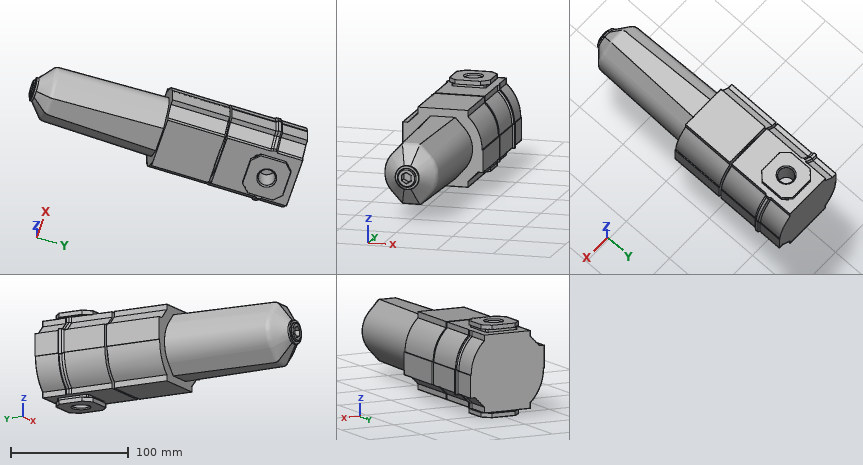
import cadquery as cq
import math

TOTAL_LENGTH = 235.6

FLAT_HALF_WIDTH = 22.1
BODY_HALF_HEIGHT = 33.7
SLOPE_TOP_Z = 28.7
SHOULDER_Z = 19.8
SIDE_X = 35.5

HEAD_LENGTH = 67.6
HEAD_ARC_RADIUS = 38.9
HEAD_ARC_REACH = 34.9
NECK_RADIUS = 30.0
BEAD_HEIGHT = 1.2
BEAD_STATIONS = (22.5, 23.8, 26.5, 28.3)

PORT_STATION = 25.0
PORT_TOP_Z = 40.0
PLATE_SIZE = 36.0
PLATE_CHAMFER = 6.8
PLATE_THICKNESS = 3.8
PORT_NECK_SIZE = 30.2
PORT_NECK_CHAMFER = 1.5
PORT_HOLE_RADIUS = 7.3
PORT_HOLE_CHAMFER = 1.2
PORT_HOLE_DEPTH = 23.5

COLLAR_START = 69.7
COLLAR_END = 120.9
COLLAR_ARC_RADIUS = 38.5
COLLAR_ARC_REACH = 34.6

BOWL_TOP_HALF_HEIGHT = 26.9
BOWL_TOP_RADIUS = 26.2
BOWL_TOP_FLAT = 10.8
BOWL_LOW_HALF_HEIGHT = 26.6
BOWL_LOW_RADIUS = 23.8
BOWL_LOW_FLAT = 7.8
NOSE_START = 220.5
NOSE_END = 232.3
NOSE_EDGE_RADIUS = 5.2

PLUG_RADIUS = 10.4
PLUG_DISC_THICKNESS = 1.6
PLUG_STEM_RADIUS = 8.2
PLUG_CHAMFER = 1.0
HEX_ACROSS_FLATS = 8.5
HEX_DEPTH = 7.0
STEM_DEPTH = 7.0


def section_plane(station):
    """Cross-section plane whose normal points along -Y."""
    return cq.Workplane("XZ", origin=(0, -station, 0))


def body_outline(station, arc_radius, arc_reach, grow=0.0):
    """Outline of head and collar, with all but the flat top and bottom grown outward."""
    wall_x = FLAT_HALF_WIDTH + grow
    side_x = SIDE_X + grow
    radius = arc_radius + grow
    center_x = arc_reach - arc_radius
    shoulder_z = SHOULDER_Z + grow
    slope_sum = FLAT_HALF_WIDTH + SLOPE_TOP_Z + grow * math.sqrt(2)
    arc_top_z = math.sqrt(radius**2 - (wall_x - center_x) ** 2)
    arc_end_x = center_x + math.sqrt(radius**2 - grow**2)
    mid_angle = (math.atan2(arc_top_z, wall_x - center_x) + math.asin(grow / radius)) / 2
    arc_mid_x = center_x + radius * math.cos(mid_angle)
    arc_mid_z = radius * math.sin(mid_angle)

    outline = section_plane(station).moveTo(-wall_x, BODY_HALF_HEIGHT)
    for side in (1, -1):
        outline = (
            outline.lineTo(side * wall_x, side * BODY_HALF_HEIGHT)
            .lineTo(side * wall_x, side * arc_top_z)
            .threePointArc((side * arc_mid_x, side * arc_mid_z), (side * arc_end_x, side * grow))
            .lineTo(side * side_x, side * grow)
            .lineTo(side * side_x, -side * shoulder_z)
            .lineTo(side * (slope_sum - shoulder_z), -side * shoulder_z)
            .lineTo(side * wall_x, -side * (slope_sum - wall_x))
        )
        if side == 1:
            outline = outline.lineTo(wall_x, -BODY_HALF_HEIGHT)
    return outline.close()


def ruled_solid(first, second):
    """Solid with straight-line surfaces between two closed outlines."""
    wires = [first.wires().val(), second.wires().val()]
    return cq.Workplane(cq.Solid.makeLoft(wires, True))


def make_bead():
    """Raised band with ramped flanks around the sides of the head."""

    def head_outline(station, grow):
        return body_outline(station, HEAD_ARC_RADIUS, HEAD_ARC_REACH, grow)

    ramp_start, crest_start, crest_end, ramp_end = BEAD_STATIONS
    crest = head_outline(crest_start, BEAD_HEIGHT).extrude(crest_end - crest_start)
    rear_ramp = ruled_solid(head_outline(ramp_start, 0), head_outline(crest_start, BEAD_HEIGHT))
    front_ramp = ruled_solid(head_outline(crest_end, BEAD_HEIGHT), head_outline(ramp_end, 0))
    return crest.union(rear_ramp).union(front_ramp)


def make_port():
    """Upper port flange: plate with cut corners on a narrower square neck."""
    neck = (
        cq.Workplane("XY", origin=(0, -PORT_STATION, 0))
        .rect(PORT_NECK_SIZE, PORT_NECK_SIZE)
        .extrude(PORT_TOP_Z - PLATE_THICKNESS)
        .edges("|Z")
        .chamfer(PORT_NECK_CHAMFER)
    )
    plate = (
        cq.Workplane("XY", origin=(0, -PORT_STATION, PORT_TOP_Z - PLATE_THICKNESS))
        .rect(PLATE_SIZE, PLATE_SIZE)
        .extrude(PLATE_THICKNESS)
        .edges("|Z")
        .chamfer(PLATE_CHAMFER)
    )
    return neck.union(plate)


def make_port_hole():
    """Blind hole of the upper port, with its chamfered mouth."""
    floor_z = PORT_TOP_Z - PORT_HOLE_DEPTH
    mouth_radius = PORT_HOLE_RADIUS + PORT_HOLE_CHAMFER
    profile = (
        cq.Workplane("XZ", origin=(0, -PORT_STATION, 0))
        .moveTo(0, floor_z)
        .lineTo(PORT_HOLE_RADIUS, floor_z)
        .lineTo(PORT_HOLE_RADIUS, PORT_TOP_Z - PORT_HOLE_CHAMFER)
        .lineTo(mouth_radius, PORT_TOP_Z)
        .lineTo(0, PORT_TOP_Z)
        .close()
    )
    return profile.revolve(360, (0, 0, 0), (0, 1, 0))


def make_head():
    head = body_outline(0, HEAD_ARC_RADIUS, HEAD_ARC_REACH).extrude(HEAD_LENGTH)
    neck = section_plane(HEAD_LENGTH).circle(NECK_RADIUS).extrude(COLLAR_START - HEAD_LENGTH)
    head = head.union(make_bead()).union(neck)
    for turn in (0, 180):
        head = head.union(make_port().rotate((0, 0, 0), (0, 1, 0), turn))
        head = head.cut(make_port_hole().rotate((0, 0, 0), (0, 1, 0), turn))
    return head


def make_collar():
    outline = body_outline(COLLAR_START, COLLAR_ARC_RADIUS, COLLAR_ARC_REACH)
    return outline.extrude(COLLAR_END - COLLAR_START)


def polar_point(radius, angle):
    return (radius * math.cos(angle), radius * math.sin(angle))


def tangent_angle(flat_half_width, half_height, arc_radius):
    """Polar angle where a line from the flat's corner touches the round side."""
    corner_distance = math.hypot(flat_half_width, half_height)
    corner_angle = math.atan2(half_height, flat_half_width)
    return corner_angle - math.acos(arc_radius / corner_distance)


def barrel_section(station, flat_half_width, half_height, arc_radius):
    """Bowl outline: flat top and bottom, round sides and slanted links tangent to them."""
    tangent_x, tangent_z = polar_point(
        arc_radius, tangent_angle(flat_half_width, half_height, arc_radius)
    )
    section = section_plane(station).moveTo(-flat_half_width, half_height)
    for side in (1, -1):
        section = (
            section.lineTo(side * flat_half_width, side * half_height)
            .lineTo(side * tangent_x, side * tangent_z)
            .threePointArc((side * arc_radius, 0), (side * tangent_x, -side * tangent_z))
            .lineTo(side * flat_half_width, -side * half_height)
        )
    return section.close()


def divided_circle(station, radius, corner_angle, link_angle):
    """Circle split at the polar angles of the corners of a barrel section."""
    ends = (corner_angle, link_angle, -link_angle, -corner_angle)
    start = math.pi - corner_angle
    circle = section_plane(station).moveTo(*polar_point(radius, start))
    for turn in (0, -math.pi):
        for end in ends:
            sweep = (start - (end + turn)) % (2 * math.pi)
            middle = start - sweep / 2
            circle = circle.threePointArc(
                polar_point(radius, middle), polar_point(radius, end + turn)
            )
            start = end + turn
    return circle.close()


def make_bowl():
    low_shape = (BOWL_LOW_FLAT, BOWL_LOW_HALF_HEIGHT, BOWL_LOW_RADIUS)
    top_section = barrel_section(COLLAR_END, BOWL_TOP_FLAT, BOWL_TOP_HALF_HEIGHT, BOWL_TOP_RADIUS)
    low_section = barrel_section(NOSE_START, *low_shape)
    corner_angle = math.atan2(BOWL_LOW_HALF_HEIGHT, BOWL_LOW_FLAT)
    tip_section = divided_circle(NOSE_END, PLUG_RADIUS, corner_angle, tangent_angle(*low_shape))
    bowl = ruled_solid(top_section, low_section).union(ruled_solid(low_section, tip_section))

    rim_margin = 0.2
    rim = cq.selectors.BoxSelector(
        (-SIDE_X, -NOSE_START - rim_margin, -SIDE_X), (SIDE_X, -NOSE_START + rim_margin, SIDE_X)
    )
    bowl = bowl.edges(rim).fillet(NOSE_EDGE_RADIUS)
    stem_hole = section_plane(NOSE_END - STEM_DEPTH).circle(PLUG_STEM_RADIUS).extrude(STEM_DEPTH)
    return bowl.cut(stem_hole)


def make_drain_plug():
    """Stem with a sealing disc at the bowl tip and a hexagon socket in its end."""
    stem_start = NOSE_END - STEM_DEPTH
    stem = (
        section_plane(stem_start)
        .circle(PLUG_STEM_RADIUS)
        .extrude(TOTAL_LENGTH - stem_start)
        .faces("<Y")
        .chamfer(PLUG_CHAMFER)
    )
    disc = section_plane(NOSE_END).circle(PLUG_RADIUS).extrude(PLUG_DISC_THICKNESS)
    socket = (
        section_plane(TOTAL_LENGTH - HEX_DEPTH)
        .polygon(6, HEX_ACROSS_FLATS, circumscribed=True)
        .extrude(HEX_DEPTH)
    )
    return stem.union(disc).cut(socket)


head = make_head()
collar = make_collar()
bowl = make_bowl()
drain_plug = make_drain_plug()

result = cq.Compound.makeCompound([head.val(), collar.val(), bowl.val(), drain_plug.val()])